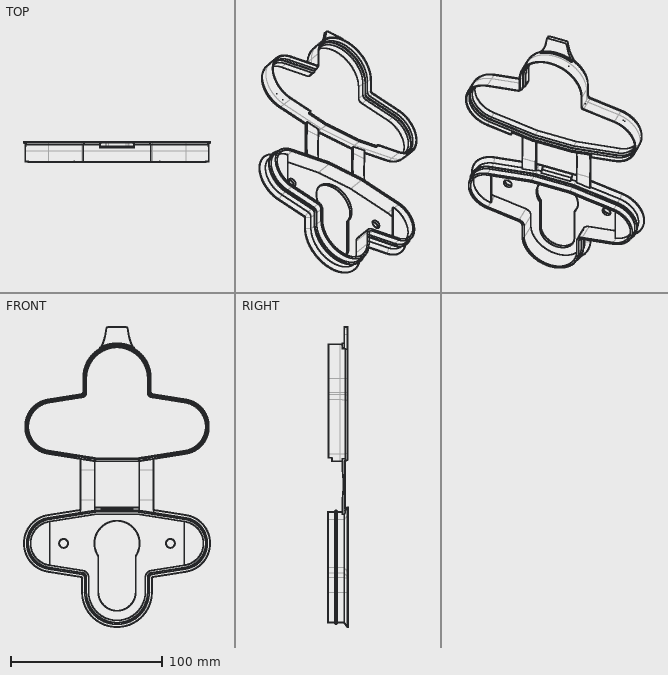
import cadquery as cq
import math


part_width = 123.5
part_height = 198.7

flange_width = 3.0
lobe_radius = 16.0
lobe_center_x = part_width / 2 - flange_width - lobe_radius
slope_angle = math.radians(9)
flat_edge_height = 20.9
stem_half_width = 20.3
stem_center_drop = 32.2
stem_corner_radius = 3.2
corner_radius_loss = 0.9

base_depth = 13.5
base_floor_y = 11.5
base_wall = 1.5
flange_root_y = 10.7
flange_tip_y = 13.0
bead_height = 1.1
bead_front_y = 4.5
bead_back_y = 6.4
bead_crest_width = 0.5

gusset_half_length = 10.5
gusset_height = 1.8
gusset_front_y = 9.1

keyhole_radius = 15.0
slot_radius = 12.3
screw_hole_diameter = 5.8
screw_hole_x = 35.4

web_start_x = 44.5
web_front_y = 4.5
web_thickness = 1.2
web_drop = 0.5

lid_center_z = 77.3
lid_front_y = 0.4
lid_back_y = 13.1
lid_floor_y = 11.1
lid_offset = 2.0
lid_band_offset = 2.2
lid_band_y = 7.8
lid_back_bevel = 0.8
lid_bevel_y = 11.5
mouth_offset = 1.5
throat_offset = 0.8
throat_y = 2.8
groove_offset = 1.3
groove_front_y = 4.8
groove_back_y = 6.5
groove_crest_y = 5.8
strap_notch_half_width = 28.5
strap_notch_y = 2.8
strap_notch_height = 4.0

tab_top_z = part_height - (stem_center_drop + stem_half_width + flange_width)
tab_bottom_z = 128.4
tab_front_y = 10.7
tab_top_half_width = 7.0
tab_neck_half_width = 7.8
tab_neck_z = 138.3
tab_flare_mid = (9.1, 133.1)
tab_foot_half_width = 11.3
tab_corner_radius = 1.4
tab_collar_front_y = 9.5
tab_collar_offset = 2.8

strap_outer_x = 24.2
strap_width = 9.5
strap_back_y = 11.5
strap_thickness = 1.89
strap_bottom_z = 18.9
strap_top_z = 58.0
thin_bottom_z = 29.0
thin_top_z = 48.9
thin_relief = 0.5


def outline(offset, y, center_z=0, stem_side=-1):
    """Closed wire at depth y, grown by offset; stem_side is -1 (down) or 1 (up)."""
    radius = lobe_radius + offset
    rise = math.tan(slope_angle)
    slope_base = radius / math.cos(slope_angle)
    tangent_x = lobe_center_x + radius * math.sin(slope_angle)
    tangent_h = radius * math.cos(slope_angle)
    flat_h = flat_edge_height + offset
    flat_x = lobe_center_x - (flat_h - slope_base) / rise
    stem_x = stem_half_width + offset

    corner = stem_corner_radius - corner_radius_loss * offset
    corner_x = stem_x + corner
    corner_h = slope_base + (lobe_center_x - corner_x) * rise + corner / math.cos(slope_angle)
    on_slope = (corner_x - corner * math.sin(slope_angle), corner_h - corner * math.cos(slope_angle))
    mid_angle = (math.pi / 2 - slope_angle) / 2
    on_corner = (corner_x - corner * math.cos(mid_angle), corner_h - corner * math.sin(mid_angle))

    def point(x, away_from_flat):
        return cq.Vector(x, y, center_z + stem_side * away_from_flat)

    def line(start, end):
        return cq.Edge.makeLine(point(*start), point(*end))

    def arc(start, middle, end):
        return cq.Edge.makeThreePointArc(point(*start), point(*middle), point(*end))

    edges = [
        line((-flat_x, -flat_h), (flat_x, -flat_h)),
        line((flat_x, -flat_h), (tangent_x, -tangent_h)),
        arc((tangent_x, -tangent_h), (lobe_center_x + radius, 0), (tangent_x, tangent_h)),
        line((tangent_x, tangent_h), on_slope),
        arc(on_slope, on_corner, (stem_x, corner_h)),
        line((stem_x, corner_h), (stem_x, stem_center_drop)),
        arc((stem_x, stem_center_drop), (0, stem_center_drop + stem_x), (-stem_x, stem_center_drop)),
        line((-stem_x, stem_center_drop), (-stem_x, corner_h)),
        arc((-stem_x, corner_h), (-on_corner[0], on_corner[1]), (-on_slope[0], on_slope[1])),
        line((-on_slope[0], on_slope[1]), (-tangent_x, tangent_h)),
        arc((-tangent_x, tangent_h), (-lobe_center_x - radius, 0), (-tangent_x, -tangent_h)),
        line((-tangent_x, -tangent_h), (-flat_x, -flat_h)),
    ]
    return cq.Wire.assembleEdges(edges)


def stack(sections, **placement):
    """Solid through outlines given as (y, offset) pairs, straight between them."""
    wires = [outline(offset, y, **placement) for y, offset in sections]
    return cq.Workplane(obj=cq.Solid.makeLoft(wires, True))


def box(x_range, y_range, z_range):
    """Box between the given limits."""
    size = [high - low for low, high in (x_range, y_range, z_range)]
    corner = (x_range[0], y_range[0], z_range[0])
    return cq.Workplane("XY").box(*size, centered=False).translate(corner)


def front_plane(y):
    """XZ workplane at depth y; positive extrusion goes toward -Y."""
    return cq.Workplane("XZ", origin=(0, y, 0))


def base_body():
    """Outer tray shape with a snap bead and a flared back flange."""
    bead_slope = (bead_back_y - bead_front_y - bead_crest_width) / 2
    return stack([
        (0, 0),
        (bead_front_y, 0),
        (bead_front_y + bead_slope, bead_height),
        (bead_back_y - bead_slope, bead_height),
        (bead_back_y, 0),
        (flange_root_y, 0),
        (flange_tip_y, flange_width),
        (base_depth, flange_width),
    ])


def flange_gusset():
    """Thickened flange root along the flat edge."""
    profile = [
        (gusset_front_y, flat_edge_height),
        (flange_root_y, flat_edge_height + gusset_height),
        (flange_tip_y, flat_edge_height + flange_width),
        (flange_tip_y, flat_edge_height - base_wall / 2),
        (gusset_front_y, flat_edge_height - base_wall / 2),
    ]
    return cq.Workplane("YZ").polyline(profile).close().extrude(gusset_half_length, both=True)


def base_cavity():
    """Space inside the tray wall, down to the floor."""
    return stack([(0, -base_wall), (base_floor_y, -base_wall)])


def base_openings():
    """Keyhole with its slot and two screw holes through the floor."""
    keyhole = front_plane(base_depth).circle(keyhole_radius).extrude(base_depth)
    slot = (
        front_plane(base_depth)
        .moveTo(-slot_radius, 0)
        .lineTo(slot_radius, 0)
        .lineTo(slot_radius, -stem_center_drop)
        .threePointArc((0, -stem_center_drop - slot_radius), (-slot_radius, -stem_center_drop))
        .close()
        .extrude(base_depth)
    )
    screw_holes = (
        front_plane(base_depth)
        .pushPoints([(-screw_hole_x, 0), (screw_hole_x, 0)])
        .circle(screw_hole_diameter / 2)
        .extrude(base_depth)
    )
    return keyhole.union(slot).union(screw_holes)


def lobe_web(side):
    """Web across one lobe end, leaning slightly back toward the tip."""
    tip_x = lobe_center_x + lobe_radius
    web_back_y = web_front_y + web_thickness
    profile = [
        (side * web_start_x, web_front_y),
        (side * tip_x, web_front_y + web_drop),
        (side * tip_x, web_back_y + web_drop),
        (side * web_start_x, web_back_y),
    ]
    slab = cq.Workplane("XY").polyline(profile).close().extrude(lobe_radius, both=True)
    half_wall = base_wall / 2
    return slab.intersect(stack([(0, -half_wall), (base_floor_y, -half_wall)]))


def lid_body():
    """Outer lid shape with a slightly wider rim band and a beveled back."""
    return stack(
        [
            (lid_front_y, lid_band_offset),
            (lid_band_y, lid_band_offset),
            (lid_bevel_y, lid_offset),
            (lid_back_y, lid_offset - lid_back_bevel),
        ],
        center_z=lid_center_z,
        stem_side=1,
    )


def lid_cavity():
    """Space inside the lid: lead-in mouth, snap groove and floor pocket."""
    return stack(
        [
            (lid_front_y, mouth_offset),
            (throat_y, throat_offset),
            (groove_front_y, throat_offset),
            (groove_crest_y, groove_offset),
            (groove_back_y, 0),
            (lid_floor_y, 0),
        ],
        center_z=lid_center_z,
        stem_side=1,
    )


def strap_notch():
    """Relief in the lid rim that clears the straps when folded."""
    bottom_z = lid_center_z - flat_edge_height - lid_band_offset
    return box(
        (-strap_notch_half_width, strap_notch_half_width),
        (0, strap_notch_y),
        (bottom_z, bottom_z + strap_notch_height),
    )


def pull_tab():
    """Flat tab that flares out toward the lid."""
    flare_x, flare_z = tab_flare_mid
    return (
        front_plane(lid_back_y)
        .moveTo(-tab_top_half_width, tab_top_z)
        .lineTo(tab_top_half_width, tab_top_z)
        .lineTo(tab_neck_half_width, tab_neck_z)
        .threePointArc((flare_x, flare_z), (tab_foot_half_width, tab_bottom_z))
        .lineTo(-tab_foot_half_width, tab_bottom_z)
        .threePointArc((-flare_x, flare_z), (-tab_neck_half_width, tab_neck_z))
        .close()
        .extrude(lid_back_y - tab_front_y)
        .edges("|Y and >Z")
        .fillet(tab_corner_radius)
    )


def tab_collar():
    """Thickened root where the tab meets the lid wall."""
    ring = stack(
        [(tab_collar_front_y, tab_collar_offset), (tab_front_y, tab_collar_offset)],
        center_z=lid_center_z,
        stem_side=1,
    )
    keep = box(
        (-tab_foot_half_width, tab_foot_half_width),
        (tab_collar_front_y, tab_front_y),
        (tab_bottom_z, tab_top_z),
    )
    return ring.intersect(keep)


def strap(side):
    """Flat strap with a shallow curved relief on its front face."""
    front_y = strap_back_y - strap_thickness
    middle_z = (thin_bottom_z + thin_top_z) / 2
    start_x = strap_outer_x - strap_width if side > 0 else -strap_outer_x
    return (
        cq.Workplane("YZ", origin=(start_x, 0, 0))
        .moveTo(strap_back_y, strap_bottom_z)
        .lineTo(strap_back_y, strap_top_z)
        .lineTo(front_y, strap_top_z)
        .lineTo(front_y, thin_top_z)
        .threePointArc((front_y + thin_relief, middle_z), (front_y, thin_bottom_z))
        .lineTo(front_y, strap_bottom_z)
        .close()
        .extrude(strap_width)
    )


result = base_body().union(flange_gusset())
result = result.union(lid_body()).union(tab_collar()).union(pull_tab())
for side in (-1, 1):
    result = result.union(strap(side))
result = result.cut(base_cavity()).cut(lid_cavity())
result = result.cut(base_openings()).cut(strap_notch())
for side in (-1, 1):
    result = result.union(lobe_web(side))